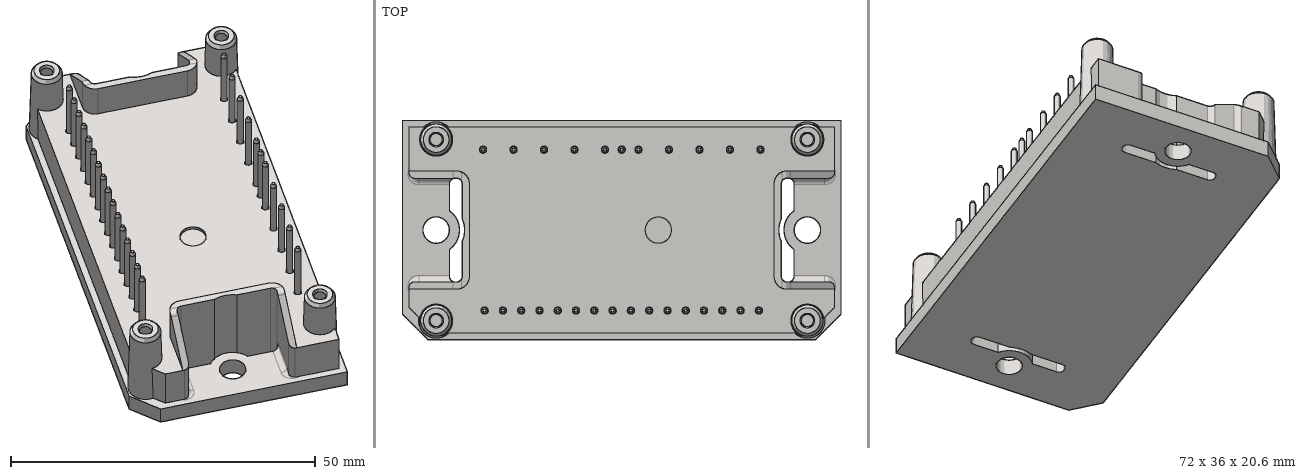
import cadquery as cq
import math

BASE_LENGTH = 72.0
BASE_WIDTH = 36.0
BASE_HEIGHT = 3.1
CORNER_CHAMFER = 4.2

BODY_INSET = 1.1
BODY_TOP = 10.0
BODY_END = BASE_LENGTH / 2 - BODY_INSET
ROUND_MARK_DIAMETER = 4.3
ROUND_MARK_X = 6.0
ROUND_MARK_DEPTH = 0.5

MOUNT_X = 30.45
MOUNT_HOLE_DIAMETER = 4.3
MOUNT_PAD_RADIUS = 3.85
WASHER_CLEARANCE_RADIUS = 4.65
BAY_HALF_WIDTH = 8.5
BAY_BACK_X = 26.2
BAY_CORNER_RADIUS = 1.05
BAY_MOUTH_RADIUS = 0.9
SLOT_OUTER_X = 28.25
SLOT_CORNER_RADIUS = 0.9

WALL_THICKNESS = 1.2
WALL_TOP = 15.95
WALL_CORNER_RADIUS = 2.1
WALL_SLOPE_TOP_X = 27.1
WALL_SLOPE_BLEND_RADIUS = 2.3

COVE_RADIUS = 1.05
COVE_END_RADIUS = 1.8
COVE_END_X = 33.3

TOWER_X = MOUNT_X
TOWER_Y = 14.85
TOWER_TOP = 16.8
TOWER_SHOULDER_RADIUS = 2.55
TOWER_DRAFT = math.radians(1.5)
TOWER_CROWN_RADIUS = 2.1
TOWER_SHOULDER_Z = 16.15
BORE_MOUTH_DIAMETER = 2.4
BORE_DIAMETER = 2.0
BORE_TAPER_DEPTH = 0.5
BORE_DEPTH = 6.0

PIN_DIAMETER = 1.0
PIN_TIP_DIAMETER = 0.5
PIN_TOP = 20.63
PIN_TIP_HEIGHT = 0.6
PIN_HOLE_DIAMETER = 1.2
PIN_HOLE_DEPTH = 0.5
PIN_ROW_Y = 13.2
FRONT_PIN_COUNT = 16
FRONT_PIN_PITCH = 3.0
BACK_PIN_PITCH = 5.0
BACK_PINS_PER_SIDE = 5
BACK_PIN_INNER_X = 2.75


def chamfered_plate(length, width, bottom, top):
    """Rectangular plate with its two -Y corners cut at 45 degrees."""
    plate = cq.Workplane("XY").box(length, width, top - bottom, centered=(True, True, False))
    return plate.edges("|Z and <Y").chamfer(CORNER_CHAMFER).translate((0, 0, bottom))


def both_ends(end_feature):
    """The +X feature together with its mirror image at the -X end."""
    return end_feature.union(end_feature.mirror("YZ"))


def bay_prism(half_width, back_x, outer_x, corner_radius, bottom, top):
    """Block from back_x out to outer_x with its two inner vertical corners rounded."""
    size = (outer_x - back_x, 2 * half_width, top - bottom)
    block = cq.Workplane("XY").box(*size, centered=(False, True, False))
    return block.edges("|Z and <X").fillet(corner_radius).translate((back_x, 0, bottom))


def bay_wall():
    """Solid block of the raised wall, its top sloping down to the housing at the end."""
    half_width = BAY_HALF_WIDTH + WALL_THICKNESS
    back_x = BAY_BACK_X - WALL_THICKNESS
    block = bay_prism(half_width, back_x, BODY_END, WALL_CORNER_RADIUS, BASE_HEIGHT, WALL_TOP)
    profile = (
        cq.Workplane("XZ")
        .moveTo(back_x, BASE_HEIGHT)
        .lineTo(BODY_END, BASE_HEIGHT)
        .lineTo(BODY_END, BODY_TOP)
        .lineTo(WALL_SLOPE_TOP_X, WALL_TOP)
        .lineTo(back_x, WALL_TOP)
        .close()
        .extrude(half_width, both=True)
    )
    slope_top = cq.selectors.NearestToPointSelector((WALL_SLOPE_TOP_X, 0, WALL_TOP))
    return block.intersect(profile.edges("|Y").edges(slope_top).fillet(WALL_SLOPE_BLEND_RADIUS))


def washer_clearance(bottom, top):
    """Cylinder around the mounting hole that hollows the bay back."""
    disc = cq.Workplane("XY").workplane(offset=bottom).center(MOUNT_X, 0)
    return disc.circle(WASHER_CLEARANCE_RADIUS).extrude(top - bottom)


def bay_cut():
    """Open bay above the baseplate, with its mouth corners rounded over."""
    pocket = bay_prism(BAY_HALF_WIDTH, BAY_BACK_X, BODY_END, BAY_CORNER_RADIUS, BASE_HEIGHT, WALL_TOP)
    cut = pocket.union(washer_clearance(BASE_HEIGHT, WALL_TOP))
    for side in (-1, 1):
        corner = (
            cq.Workplane("XY")
            .workplane(offset=BASE_HEIGHT)
            .moveTo(BODY_END - BAY_MOUTH_RADIUS, side * BAY_HALF_WIDTH)
            .radiusArc((BODY_END, side * (BAY_HALF_WIDTH + BAY_MOUTH_RADIUS)), -side * BAY_MOUTH_RADIUS)
            .lineTo(BODY_END, side * BAY_HALF_WIDTH)
            .close()
            .extrude(WALL_TOP - BASE_HEIGHT)
        )
        cut = cut.union(corner)
    return cut


def cove(side):
    """Concave fillet between one bay side and the baseplate, with a rounded outer end."""
    foot_y = BAY_HALF_WIDTH - COVE_RADIUS
    axis_y = foot_y + COVE_END_RADIUS
    strip = (
        cq.Workplane("YZ")
        .workplane(offset=BAY_BACK_X)
        .moveTo(foot_y, 0)
        .radiusArc((BAY_HALF_WIDTH, COVE_RADIUS), -COVE_RADIUS)
        .lineTo(axis_y, COVE_RADIUS)
        .lineTo(axis_y, 0)
        .close()
        .extrude(COVE_END_X - BAY_BACK_X)
    )
    end = (
        cq.Workplane("XZ")
        .moveTo(0, 0)
        .lineTo(COVE_END_RADIUS, 0)
        .radiusArc((COVE_END_RADIUS - COVE_RADIUS, COVE_RADIUS), COVE_RADIUS)
        .lineTo(0, COVE_RADIUS)
        .close()
        .revolve(360, (0, 0), (0, 1))
        .translate((COVE_END_X, axis_y, 0))
    )
    placed = strip.union(end).translate((0, 0, BASE_HEIGHT))
    return placed if side > 0 else placed.mirror("XZ")


def base_slot():
    """Slot through the baseplate along the bay back, curving around the mounting pad."""
    length = 2 * BAY_HALF_WIDTH
    slot = (
        cq.Workplane("XY")
        .box(SLOT_OUTER_X - BAY_BACK_X, length, WALL_TOP, centered=(False, True, False))
        .edges("|Z")
        .fillet(SLOT_CORNER_RADIUS)
        .translate((BAY_BACK_X, 0, 0))
    )
    inner_half = cq.Workplane("XY").box(MOUNT_X, length, WALL_TOP, centered=(False, True, False))
    inner_half = inner_half.translate((SLOT_OUTER_X - MOUNT_X, 0, 0))
    pad = cq.Workplane("XY").center(MOUNT_X, 0).circle(MOUNT_PAD_RADIUS).extrude(WALL_TOP)
    return slot.union(washer_clearance(0, WALL_TOP).intersect(inner_half)).cut(pad)


def tower():
    """Drafted screw tower with a bevelled crown and a blind bore tapered at its mouth."""
    foot_radius = TOWER_SHOULDER_RADIUS + (TOWER_SHOULDER_Z - BASE_HEIGHT) * math.tan(TOWER_DRAFT)
    return (
        cq.Workplane("XZ")
        .moveTo(0, BASE_HEIGHT)
        .lineTo(foot_radius, BASE_HEIGHT)
        .lineTo(TOWER_SHOULDER_RADIUS, TOWER_SHOULDER_Z)
        .lineTo(TOWER_CROWN_RADIUS, TOWER_TOP)
        .lineTo(BORE_MOUTH_DIAMETER / 2, TOWER_TOP)
        .lineTo(BORE_DIAMETER / 2, TOWER_TOP - BORE_TAPER_DEPTH)
        .lineTo(BORE_DIAMETER / 2, TOWER_TOP - BORE_DEPTH)
        .lineTo(0, TOWER_TOP - BORE_DEPTH)
        .close()
        .revolve(360, (0, 0), (0, 1))
    )


def pin():
    """Contact pin with a conical tip, rooted in the housing."""
    return (
        cq.Workplane("XZ")
        .moveTo(0, BASE_HEIGHT)
        .lineTo(PIN_DIAMETER / 2, BASE_HEIGHT)
        .lineTo(PIN_DIAMETER / 2, PIN_TOP - PIN_TIP_HEIGHT)
        .lineTo(PIN_TIP_DIAMETER / 2, PIN_TOP)
        .lineTo(0, PIN_TOP)
        .close()
        .revolve(360, (0, 0), (0, 1))
    )


def pin_positions():
    """Centres of the evenly spaced front row and of the back row with its extra middle pin."""
    first_x = -FRONT_PIN_PITCH * (FRONT_PIN_COUNT - 1) / 2
    front = [(first_x + i * FRONT_PIN_PITCH, -PIN_ROW_Y) for i in range(FRONT_PIN_COUNT)]
    back = [(0, PIN_ROW_Y)]
    for i in range(BACK_PINS_PER_SIDE):
        x = BACK_PIN_INNER_X + i * BACK_PIN_PITCH
        back += [(-x, PIN_ROW_Y), (x, PIN_ROW_Y)]
    return front + back


def mount_hole():
    return cq.Workplane("XY").center(MOUNT_X, 0).circle(MOUNT_HOLE_DIAMETER / 2).extrude(BASE_HEIGHT)


def housing_recess(points, diameter, depth):
    """Round recesses sunk from the housing top."""
    floor = cq.Workplane("XY").workplane(offset=BODY_TOP - depth)
    return floor.pushPoints(points).circle(diameter / 2).extrude(depth)


base = chamfered_plate(BASE_LENGTH, BASE_WIDTH, 0, BASE_HEIGHT)
body = chamfered_plate(2 * BODY_END, BASE_WIDTH - 2 * BODY_INSET, BASE_HEIGHT, BODY_TOP)
body = body.union(both_ends(bay_wall())).cut(both_ends(bay_cut()))
result = base.union(body)

for side in (-1, 1):
    result = result.union(both_ends(cove(side)))
result = result.cut(both_ends(base_slot()))
result = result.cut(both_ends(mount_hole()))

result = result.cut(housing_recess([(ROUND_MARK_X, 0)], ROUND_MARK_DIAMETER, ROUND_MARK_DEPTH))
result = result.cut(housing_recess(pin_positions(), PIN_HOLE_DIAMETER, PIN_HOLE_DEPTH))

for x in (-TOWER_X, TOWER_X):
    for y in (-TOWER_Y, TOWER_Y):
        result = result.union(tower().translate((x, y, 0)))

for x, y in pin_positions():
    result = result.union(pin().translate((x, y, 0)))